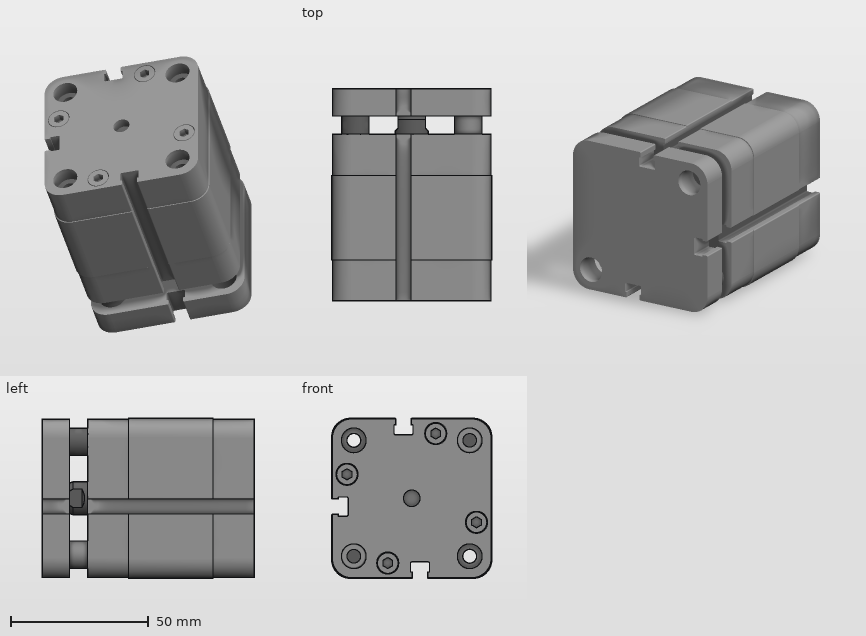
import cadquery as cq
import math

length = 77.0
cap_length = 14.9
plate_thickness = 10.0
gap_length = 6.5
barrel_length = length - 2 * cap_length - gap_length - plate_thickness

front_y = -length / 2
barrel_y = front_y + cap_length
rear_cap_y = barrel_y + barrel_length
gap_y = rear_cap_y + cap_length
plate_y = gap_y + gap_length

barrel_width = 58.1
cap_width = 57.5
corner_radius = 6.85

slot_offset = -3.0
slot_mouth_width = 5.55
slot_inner_width = 6.85
slot_lip_z = 26.65
slot_floor_z = 23.1
slot_mouth_radius = 0.4
slot_floor_radius = 0.5
slot_overcut = 0.8
slot_angles = (0, -90, 180)

hole_spacing = 42.05
through_diameter = 4.9
counterbore_diameter = 9.0
counterbore_depth = 5.55
plate_hole_diameter = 9.5

center_hole_diameter = 6.0
center_hole_depth = 3.85

screw_x = 8.7
screw_z = 23.5
screw_pocket_diameter = 8.0
screw_head_diameter = 7.5
screw_gap_depth = 4.0
socket_across_flats = 3.5
socket_depth = 3.0

pin_diameter = 10.0
pin_spacing = 41.0
rod_diameter = 12.0
rod_across_flats = 10.0
rod_flat_length = 4.4
rod_chamfer_length = 1.15
rod_chamfer_depth = 0.4


def front_plane(y):
    """Sketch plane facing the front: sketch axes are X and Z."""
    return cq.Workplane("XZ", origin=(0, y, 0))


def prism(sketch, depth):
    """Extrude a sketch on a front plane towards +Y."""
    return sketch.extrude(-depth)


def turn(body, angle):
    return body.rotate((0, 0, 0), (0, 1, 0), angle)


def t_slot(face_z, y, depth):
    """Top T-slot with rounded mouth edges blending into the face at face_z."""
    mouth = slot_mouth_width / 2
    inner = slot_inner_width / 2
    outside_z = face_z + slot_overcut
    mouth_z = face_z - slot_mouth_radius
    edge = mouth + slot_mouth_radius
    floor_edge = inner - slot_floor_radius
    floor_top_z = slot_floor_z + slot_floor_radius
    profile = (
        front_plane(y)
        .center(slot_offset, 0)
        .moveTo(-edge, outside_z)
        .lineTo(-edge, face_z)
        .radiusArc((-mouth, mouth_z), slot_mouth_radius)
        .lineTo(-mouth, slot_lip_z)
        .lineTo(-inner, slot_lip_z)
        .lineTo(-inner, floor_top_z)
        .radiusArc((-floor_edge, slot_floor_z), -slot_floor_radius)
        .lineTo(floor_edge, slot_floor_z)
        .radiusArc((inner, floor_top_z), -slot_floor_radius)
        .lineTo(inner, slot_lip_z)
        .lineTo(mouth, slot_lip_z)
        .lineTo(mouth, mouth_z)
        .radiusArc((edge, face_z), slot_mouth_radius)
        .lineTo(edge, outside_z)
        .close()
    )
    return prism(profile, depth)


def slotted_block(width, y, depth):
    """Rounded square block with the three T-slots running along Y."""
    block = prism(front_plane(y).rect(width, width), depth)
    block = block.edges("|Y").fillet(corner_radius)
    slot = t_slot(width / 2, y, depth)
    for angle in slot_angles:
        block = block.cut(turn(slot, angle))
    return block


def piston_rod():
    """Rod with a tapered tip and two wrench flats that run out at 45 degrees."""
    radius = rod_diameter / 2
    tip_radius = radius - rod_chamfer_depth
    rod = (
        cq.Workplane("XY")
        .moveTo(0, gap_y)
        .lineTo(radius, gap_y)
        .lineTo(radius, plate_y - rod_chamfer_length)
        .lineTo(tip_radius, plate_y)
        .lineTo(0, plate_y)
        .close()
        .revolve(360, (0, 0), (0, 1))
    )
    half_flats = rod_across_flats / 2
    flat_y = plate_y - rod_flat_length
    envelope = (
        cq.Workplane("XY")
        .polyline([
            (half_flats, plate_y),
            (half_flats, flat_y),
            (half_flats + flat_y - gap_y, gap_y),
            (-half_flats - flat_y + gap_y, gap_y),
            (-half_flats, flat_y),
            (-half_flats, plate_y),
        ])
        .close()
        .extrude(radius, both=True)
    )
    return rod.intersect(envelope)


def guide_pins():
    offset = pin_spacing / 2
    places = [(offset, offset), (-offset, -offset)]
    return prism(front_plane(gap_y).pushPoints(places).circle(pin_diameter / 2), gap_length)


def body_holes():
    """Four counterbored corner holes and the blind center hole."""
    corners = front_plane(front_y).rect(hole_spacing, hole_spacing, forConstruction=True).vertices()
    through = prism(corners.circle(through_diameter / 2), gap_y - front_y)
    counterbores = prism(corners.circle(counterbore_diameter / 2), counterbore_depth)
    center = prism(front_plane(front_y).circle(center_hole_diameter / 2), center_hole_depth)
    return through.union(counterbores).union(center)


def plate_holes():
    """Clearance holes in the plate at the two corners without guide pins."""
    offset = hole_spacing / 2
    places = [(-offset, offset), (offset, -offset)]
    return prism(front_plane(plate_y).pushPoints(places).circle(plate_hole_diameter / 2), plate_thickness)


def screw_recesses():
    """Ring gap around each screw head and a hexagon socket with two corners up and down."""
    places = [(screw_x, screw_z), (-screw_z, screw_x), (-screw_x, -screw_z), (screw_z, -screw_x)]
    centers = front_plane(front_y).pushPoints(places)
    pockets = prism(centers.circle(screw_pocket_diameter / 2), screw_gap_depth)
    heads = prism(centers.circle(screw_head_diameter / 2), screw_gap_depth)
    turned_centers = front_plane(front_y).transformed(rotate=(0, 0, 90)).pushPoints(places)
    across_corners = socket_across_flats / math.cos(math.radians(30))
    sockets = prism(turned_centers.polygon(6, across_corners), socket_depth)
    return pockets.cut(heads).union(sockets)


body = (
    slotted_block(cap_width, front_y, cap_length)
    .union(slotted_block(barrel_width, barrel_y, barrel_length))
    .union(slotted_block(cap_width, rear_cap_y, cap_length))
    .cut(body_holes())
    .cut(screw_recesses())
)
plate = slotted_block(cap_width, plate_y, plate_thickness).cut(plate_holes())

result = body.union(plate).union(piston_rod()).union(guide_pins())